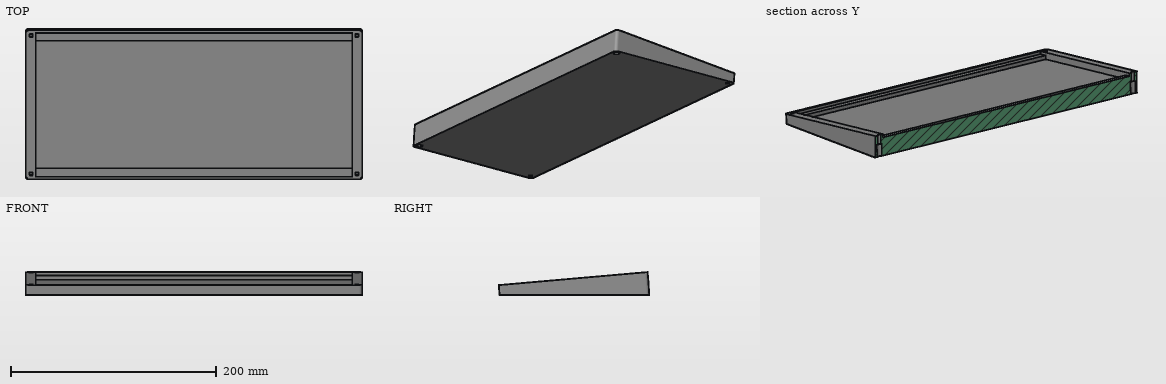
import cadquery as cq
import math

width = 328.0
overall_depth = 147.0
rear_height = 22.5
rear_setback = 1.5
rear_bend_height = 13.5
tilt = math.radians(5.0)

corner_radius = 3.0
side_wall = 10.0
end_wall = 2.5
ledge_width = 8.0
ledge_drop = 3.0
floor_drop = 7.0
hole_diameter = 3.3
hole_inset = 5.2
head_bore_diameter = 6.0
head_seat_depth = 9.5

front_top_y = -overall_depth / 2
rear_foot_y = overall_depth / 2
rear_top_y = rear_foot_y - rear_setback
rear_bend_y = rear_top_y + (rear_height - rear_bend_height) * math.tan(tilt)
front_height = rear_height - (rear_top_y - front_top_y) * math.tan(tilt)
front_foot_y = front_top_y + front_height * math.tan(tilt)

top_depth = (rear_top_y - front_top_y) / math.cos(tilt)
top_center_y = (front_top_y + rear_top_y) / 2
top_center_z = (front_height + rear_height) / 2
cut_length = 2 * rear_height

top_plane = cq.Plane(
    origin=(0, top_center_y, top_center_z),
    xDir=(1, 0, 0),
    normal=(0, -math.sin(tilt), math.cos(tilt)),
)


def make_body():
    """Wedge with a flat base, a tilted top and rounded upright corners."""
    side_profile = [
        (front_foot_y, 0),
        (rear_foot_y, 0),
        (rear_bend_y, rear_bend_height),
        (rear_top_y, rear_height),
        (front_top_y, front_height),
    ]
    wedge = cq.Workplane("YZ").polyline(side_profile).close().extrude(width / 2, both=True)
    front_edges = wedge.faces("<Y").edges("not |X")
    rear_edges = wedge.faces(">Y or >>Y[-2]").edges("not |X")
    return wedge.newObject(front_edges.vals() + rear_edges.vals()).fillet(corner_radius)

def make_pocket(length, drop):
    """Rectangular pocket sunk square to the top face."""
    return cq.Workplane(top_plane).rect(width - 2 * side_wall, length).extrude(-drop)


def make_screw_holes():
    """Four corner holes square to the top face; the tall rear pair widens below for screw heads."""
    hole_x = width / 2 - hole_inset
    hole_y = top_depth / 2 - hole_inset
    rear_points = [(-hole_x, hole_y), (hole_x, hole_y)]
    front_points = [(-hole_x, -hole_y), (hole_x, -hole_y)]
    top = cq.Workplane(top_plane)
    shanks = top.pushPoints(rear_points + front_points).circle(hole_diameter / 2).extrude(-cut_length)
    heads = (
        top.workplane(offset=-head_seat_depth)
        .pushPoints(rear_points)
        .circle(head_bore_diameter / 2)
        .extrude(-cut_length)
    )
    return shanks.union(heads)


recess_length = top_depth - 2 * end_wall
result = (
    make_body()
    .cut(make_pocket(recess_length, ledge_drop))
    .cut(make_pocket(recess_length - 2 * ledge_width, floor_drop))
    .cut(make_screw_holes())
)